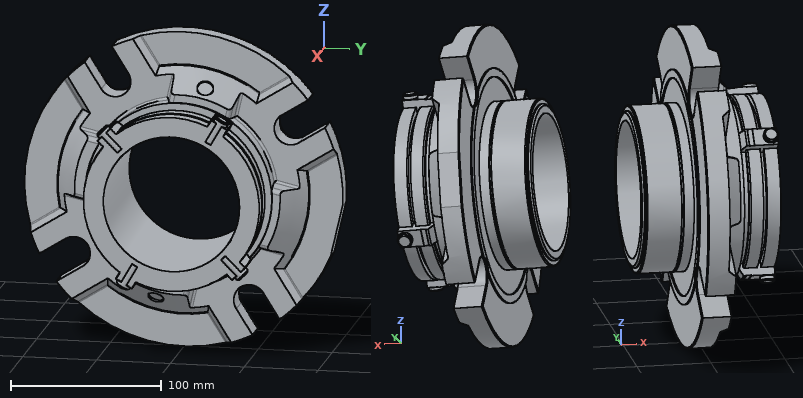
import cadquery as cq
import math


gland_start = 2.0
oring_start = 25.9
oring_end = 27.4
gasket_face = 33.2
flange_face = 34.0
flange_back = 49.0
pad_top = 54.0
hub_end = 66.8
drive_ring_start = 71.0
drive_ring_end = 80.4
collar_start = 83.0
collar_end = 92.2

bore_radius = 92.0 / 2
sleeve_radius = 52.4
sleeve_chamfer = 1.3
gland_radius = 56.2
gland_chamfer = 0.9
oring_groove_radius = 109.7 / 2
hub_radius = 63.1
ring_radius = 59.5
ring_gap_radius = 109.7 / 2
ring_chamfer = 1.0

flange_radius = 107.8
flange_chamfer = 0.75
flat_angle = 347.0
flat_distance = 106.2
gasket_inner_radius = 145.5 / 2
gasket_outer_radius = 78.5

slot_angles = [32.0 + 90.0 * i for i in range(4)]
slot_radius = 10.8
slot_center = 86.2
pad_half_width = 26.0
pad_draft = 4.3

cone_base_radius = 85.1
lobe_half_width = 23.0
lobe_draft = 0.2
root_fillet = 1.0
lobe_fillet = 3.2
pocket_fillet = 1.7
lobe_top = 65.5
lobe_angles = [77.0 + 90.0 * i for i in range(4)]
short_lobe_angle = 167.0
short_lobe_top = 63.0

port_angles = [77.0, 257.0]
port_radius = 5.4
port_depth = 1.5
port_station = 59.7

clip_angles = [60.0, 135.0, 240.0, 315.0]
clip_half_width = 6.2
clip_top = 64.5
clip_toe_top = 57.3
clip_groove_start = 72.6
clip_groove_end = 76.0
clip_groove_depth = 0.5
screw_station = 87.7
screw_radius = 5.0
screw_top = 67.7
screw_chamfer = 0.9

inner_seat = 49.5
outer_reach = 129.3
rim_limit = flat_distance - 2.2
pocket_rim = cone_base_radius - (pad_top - flange_back)
selection_margin = 0.1


def disc(start, end, radius):
    """Cylinder about X between two stations."""
    return cq.Workplane("YZ").workplane(offset=start).circle(radius).extrude(end - start)


def tube(start, end, outer, inner):
    """Ring about X between two stations."""
    return disc(start, end, outer).cut(disc(start, end, inner))


def turn(body, angle):
    """Turn a feature drawn along +Y to its angle about X."""
    return body.rotate((0, 0, 0), (1, 0, 0), angle)


def slot_cutter(start, end):
    """Radial slot along +Y with a round bottom, open at the rim."""
    length = outer_reach - slot_center
    straight = (
        cq.Workplane("YZ").workplane(offset=start)
        .center(slot_center + length / 2, 0)
        .rect(length, 2 * slot_radius).extrude(end - start)
    )
    round_end = (
        cq.Workplane("YZ").workplane(offset=start)
        .center(slot_center, 0).circle(slot_radius).extrude(end - start)
    )
    return straight.union(round_end)


def on_plane(station):
    """Selector for the edges that lie in the cross plane at a station."""
    return cq.selectors.BoxSelector(
        (station - selection_margin, -outer_reach, -outer_reach),
        (station + selection_margin, outer_reach, outer_reach),
        boundingbox=True,
    )


def within(radius):
    """Filter for edges whose middle lies inside a radius about X."""
    def test(edge):
        middle = edge.positionAt(0.5)
        return math.hypot(middle.y, middle.z) < radius - selection_margin
    return test


def make_flange():
    """Flange with pads, cone, flat and bolt slots, chamfered on its front face."""
    pad_zone = disc(flange_face, flange_back, outer_reach)
    for angle in slot_angles:
        pad_zone = pad_zone.union(turn(make_pad(), angle))
    flange = disc(flange_face, pad_top, flange_radius).intersect(pad_zone).union(make_cone())

    flat = (
        cq.Workplane("YZ").workplane(offset=flange_face)
        .center((flat_distance + outer_reach) / 2, 0)
        .rect(outer_reach - flat_distance, outer_reach).extrude(pad_top - flange_face)
    )
    flange = flange.cut(turn(flat, flat_angle))
    flange = flange.edges(on_plane(flange_back)).filter(within(rim_limit)).fillet(root_fillet)
    for angle in slot_angles:
        flange = flange.cut(turn(slot_cutter(flange_face, pad_top), angle))
    return flange.faces("<X").edges().chamfer(flange_chamfer)


def make_gasket():
    """Thin ring standing proud of the flange front, notched by the bolt slots."""
    gasket = tube(gasket_face, flange_face, gasket_outer_radius, gasket_inner_radius)
    for angle in slot_angles:
        gasket = gasket.cut(turn(slot_cutter(gasket_face, flange_face), angle))
    return gasket


def make_pad():
    """Pad along +Y whose side walls slope out towards the flange."""
    base_half_width = pad_half_width + pad_draft
    return (
        cq.Workplane("XZ").workplane(offset=-outer_reach)
        .polyline([
            (flange_back, -base_half_width),
            (pad_top, -pad_half_width),
            (pad_top, pad_half_width),
            (flange_back, base_half_width),
        ]).close()
        .extrude(outer_reach - inner_seat)
    )


def make_cone():
    """45 degree cone with the hub on its end, cut down by the pockets between the lobes."""
    profile = [
        (flange_face, 0),
        (flange_face, cone_base_radius),
        (flange_back, cone_base_radius),
        (lobe_top, cone_base_radius - (lobe_top - flange_back)),
        (lobe_top, hub_radius),
        (hub_end, hub_radius),
        (hub_end, 0),
    ]
    cone = cq.Workplane("XY").polyline(profile).close().revolve(360, (0, 0, 0), (1, 0, 0))

    pockets = tube(pad_top, hub_end, outer_reach, hub_radius)
    for angle in lobe_angles:
        top = short_lobe_top if angle == short_lobe_angle else lobe_top
        pockets = pockets.cut(turn(make_lobe(top), angle))
    cone = cone.cut(pockets)
    return cone.edges(on_plane(pad_top)).filter(within(pocket_rim)).fillet(pocket_fillet)


def make_lobe(top):
    """Drafted block along +Y that sets the sides and the top of one lobe."""
    half_width = lobe_half_width - (top - pad_top) * lobe_draft
    return (
        cq.Workplane("XZ").workplane(offset=-outer_reach)
        .polyline([
            (pad_top, -lobe_half_width),
            (top, -half_width),
            (top, half_width),
            (pad_top, lobe_half_width),
        ]).close()
        .extrude(outer_reach - inner_seat)
        .faces(">X").edges("|Y").fillet(lobe_fillet)
    )


def make_port():
    """Shallow round recess square to the lobe cone at +Y."""
    surface = cone_base_radius - (port_station - flange_back)
    slope = math.sqrt(0.5)
    outward = cq.Vector(slope, slope, 0)
    floor = cq.Vector(port_station, surface, 0) - outward * port_depth
    plane = cq.Plane(origin=floor.toTuple(), xDir=(0, 0, 1), normal=outward.toTuple())
    return cq.Workplane(plane).circle(port_radius).extrude(2 * port_depth)


def make_clip():
    """Clip block along +Y with a sloping toe, a shallow groove and a round screw head."""
    groove_floor = clip_top - clip_groove_depth
    clip = (
        cq.Workplane("XY").workplane(offset=-clip_half_width)
        .polyline([
            (hub_end, inner_seat),
            (hub_end, clip_toe_top),
            (drive_ring_start, clip_top),
            (clip_groove_start, clip_top),
            (clip_groove_start, groove_floor),
            (clip_groove_end, groove_floor),
            (clip_groove_end, clip_top),
            (collar_end, clip_top),
            (collar_end, inner_seat),
        ]).close()
        .extrude(2 * clip_half_width)
    )
    screw = (
        cq.Workplane("XZ", origin=(screw_station, screw_top, 0))
        .circle(screw_radius).extrude(screw_top - inner_seat)
        .faces(">Y").edges().chamfer(screw_chamfer)
    )
    return clip.union(screw)


def make_core():
    """Turned sleeve, gland nose, drive ring and collar."""
    core = disc(0, gland_start, sleeve_radius).faces("<X").edges().chamfer(sleeve_chamfer)
    nose = disc(gland_start, drive_ring_start, gland_radius).faces("<X").edges().chamfer(gland_chamfer)
    drive_ring = disc(drive_ring_start, drive_ring_end, ring_radius)
    drive_ring = drive_ring.faces("<X").edges().chamfer(ring_chamfer)

    core = core.union(nose)
    core = core.cut(tube(oring_start, oring_end, gland_radius, oring_groove_radius))
    core = core.union(drive_ring)
    core = core.union(disc(drive_ring_end, collar_start, ring_gap_radius))
    return core.union(disc(collar_start, collar_end, ring_radius))


result = make_core().union(make_flange()).union(make_gasket())
for port_angle in port_angles:
    result = result.cut(turn(make_port(), port_angle))
for clip_angle in clip_angles:
    result = result.union(turn(make_clip(), clip_angle))
result = result.cut(disc(0, collar_end, bore_radius))